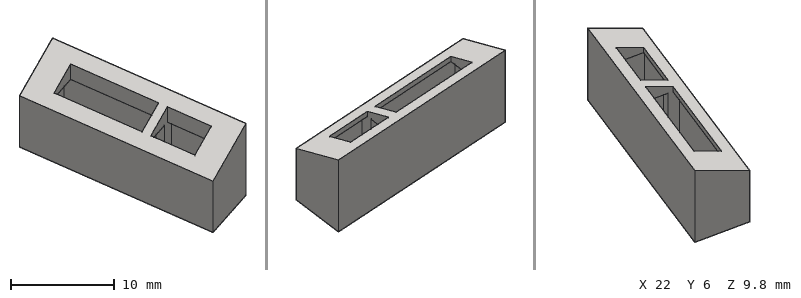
import cadquery as cq

length = 22.0
width = 6.0
front_height = 7.0
back_height = 9.8

window_margin = 3.0
long_window = 10.0
short_window = 5.0
window_width = 3.0
web = 1.0

cavity_ceiling = front_height
side_wall = 0.75
end_wall = 1.75

notch_width = 2.0

web_start = window_margin + long_window
web_end = web_start + web


def centred_block(x_start, x_end, block_width, height):
    """Block standing on the base plane, centred across the body width."""
    block = cq.Workplane("XY").box(x_end - x_start, block_width, height, centered=(False, True, False))
    return block.translate((x_start, width / 2, 0))


def make_body():
    """Sloped-top bar, its side profile extruded along X."""
    profile = [(0, 0), (width, 0), (width, back_height), (0, front_height)]
    return cq.Workplane("YZ").polyline(profile).close().extrude(length)


def cut_windows(body):
    """Two rectangular windows running down through the whole body."""
    for x_start, x_end in (
        (window_margin, web_start),
        (web_end, web_end + short_window),
    ):
        body = body.cut(centred_block(x_start, x_end, window_width, back_height))
    return body


def cut_cavity(body):
    """Wide cavity under the windows, split by the web and open below."""
    cavity_width = width - 2 * side_wall
    for x_start, x_end in ((end_wall, web_start), (web_end, length - end_wall)):
        body = body.cut(centred_block(x_start, x_end, cavity_width, cavity_ceiling))
    return body


def cut_notch(body):
    """Passage through the web, as tall as the cavity."""
    return body.cut(centred_block(web_start, web_end, notch_width, cavity_ceiling))


result = cut_notch(cut_cavity(cut_windows(make_body())))